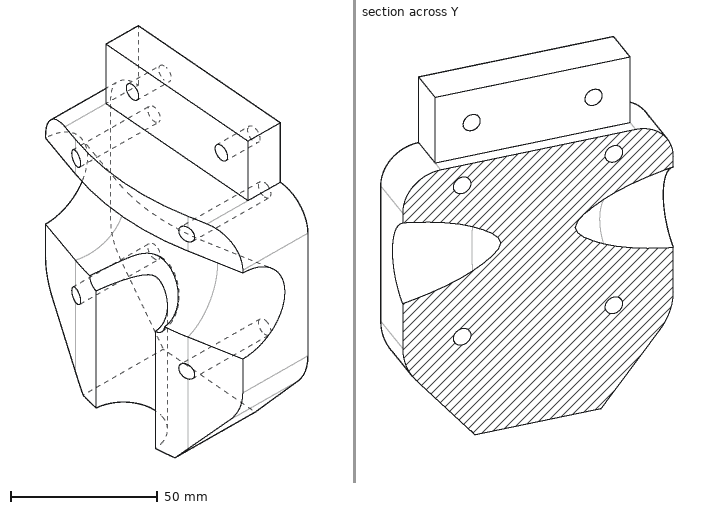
import cadquery as cq
import math

body_width = 100.0
body_height = 108.0
body_depth = 39.69

bend_radius = 110.0
bend_angle = math.radians(15.0)

top_corner_radius = 14.0
bottom_width = 46.6
slant_start_height = 32.5
slant_corner_radius = 22.0

tab_width = body_width - 2 * top_corner_radius
tab_height = 26.0
tab_thickness = 15.0

cross_pipe_radius = 18.8
cross_pipe_height = 74.0
down_pipe_radius = 15.0
weld_relief_radius = 4.0
weld_path_points = 21

hole_diameter = 6.3
tab_hole_spacing = 45.0
tab_hole_height = body_height + tab_height / 2
body_hole_spacing = 56.0
body_hole_heights = (40.0, 100.0)

half_width = body_width / 2
front_y = -body_depth
bend_center_y = front_y + bend_radius
flat_start_x = bend_radius * math.sin(bend_angle)
flat_start_y = bend_center_y - bend_radius * math.cos(bend_angle)


def flat_y(x):
    """Y of the flat part of the front at a distance x from the middle."""
    return flat_start_y + (x - flat_start_x) * math.tan(bend_angle)


def make_curved_block():
    """Full-height block with the bent front."""
    side_y = flat_y(half_width)
    return (
        cq.Workplane("XY")
        .moveTo(-half_width, 0)
        .lineTo(-half_width, side_y)
        .lineTo(-flat_start_x, flat_start_y)
        .threePointArc((0, front_y), (flat_start_x, flat_start_y))
        .lineTo(half_width, side_y)
        .lineTo(half_width, 0)
        .close()
        .extrude(body_height)
    )


def make_outline_prism():
    """Prism along Y with the rounded and slanted outline of the body."""
    half_bottom = bottom_width / 2
    prism = (
        cq.Workplane("XZ")
        .polyline([
            (-half_bottom, 0),
            (half_bottom, 0),
            (half_width, slant_start_height),
            (half_width, body_height),
            (-half_width, body_height),
            (-half_width, slant_start_height),
        ])
        .close()
        .extrude(body_depth)
    )
    prism = prism.edges("|Y").edges("not(<Z or >Z)").fillet(slant_corner_radius)
    return prism.edges("|Y and >Z").fillet(top_corner_radius)


def make_tab():
    """Flat mounting tab standing on top of the body, flush with the back."""
    return (
        cq.Workplane("XY", origin=(0, -tab_thickness, body_height))
        .box(tab_width, tab_thickness, tab_height, centered=(True, False, False))
    )


def make_cross_pipe():
    """Bent pipe across the body, its axis following the front surface."""
    end_x = body_width
    end_y = flat_y(end_x)
    path = (
        cq.Workplane("XY", origin=(0, 0, cross_pipe_height))
        .moveTo(-end_x, end_y)
        .lineTo(-flat_start_x, flat_start_y)
        .threePointArc((0, front_y), (flat_start_x, flat_start_y))
        .lineTo(end_x, end_y)
    )
    start_plane = cq.Plane(
        origin=(-end_x, end_y, cross_pipe_height),
        xDir=(0, 0, 1),
        normal=(math.cos(bend_angle), -math.sin(bend_angle), 0),
    )
    return cq.Workplane(start_plane).circle(cross_pipe_radius).sweep(path)


def make_down_pipe():
    """Straight pipe running from the cross pipe down through the bottom."""
    return (
        cq.Workplane("XY", origin=(0, front_y, 0))
        .circle(down_pipe_radius)
        .extrude(cross_pipe_height)
    )


def weld_point(angle):
    """Point where the two pipe surfaces meet, at an angle around the down pipe."""
    x = down_pipe_radius * math.sin(angle)
    y = front_y + down_pipe_radius * math.cos(angle)
    depth = bend_radius - math.hypot(x, y - bend_center_y)
    z = cross_pipe_height - math.sqrt(cross_pipe_radius**2 - depth**2)
    return cq.Vector(x, y, z)


def make_weld_relief():
    """Round groove following the weld line between the two pipes."""
    step = math.pi / (weld_path_points - 1)
    points = [weld_point(-math.pi / 2 + step * i) for i in range(weld_path_points)]
    curve = cq.Edge.makeSpline(points)
    start_plane = cq.Plane(origin=points[0], normal=curve.tangentAt(0))
    return (
        cq.Workplane(start_plane)
        .circle(weld_relief_radius)
        .sweep(cq.Workplane(cq.Wire.assembleEdges([curve])))
    )


def make_holes():
    """Bolt holes through the tab and the body, along Y."""
    centers = []
    for side in (-1, 1):
        centers.append((side * tab_hole_spacing / 2, tab_hole_height))
        for height in body_hole_heights:
            centers.append((side * body_hole_spacing / 2, height))
    return cq.Workplane("XZ").pushPoints(centers).circle(hole_diameter / 2).extrude(body_depth)


result = (
    make_curved_block()
    .intersect(make_outline_prism())
    .union(make_tab())
    .cut(make_cross_pipe())
    .cut(make_down_pipe())
    .cut(make_weld_relief())
    .cut(make_holes())
)